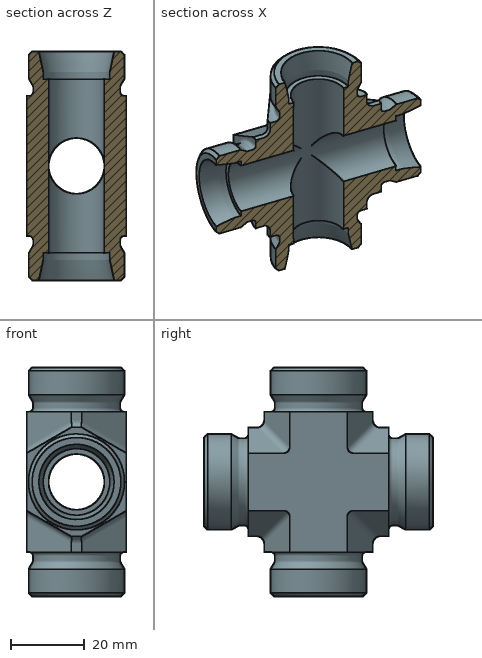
import cadquery as cq
import math

reach = 31.0

across_flats = 27.0
arm_span = 38.0
arm_reach = arm_span / 2
hexagon_sides = 6
crest_width = 29.45
crotch_radius = 2.0

thread_radius = 26.0 / 2
thread_length = 7.45
end_chamfer = 1.0
neck_radius = 23.7 / 2
neck_fillet = 1.0
runout_angle = math.radians(30)

bore_radius = 15.0 / 2
seat_radius = 18.0 / 2
seat_depth = 7.5
cone_mouth_radius = 10.15
cone_half_angle = math.radians(12)

arm_turns = (0, 90, 180, 270)
tolerance = 0.0005


def around_x(shape, angle):
    """Turn a shape about the X axis through the body centre."""
    return shape.rotate((0, 0, 0), (1, 0, 0), angle)


def cross_of(bar):
    """Cross made by a bar along Z and its quarter-turned copy along Y."""
    return bar.union(around_x(bar, 90))


def hex_cross():
    """Two crossing hexagonal bars, flats facing X, filleted along their slanted seams."""
    across_corners = across_flats / math.cos(math.pi / hexagon_sides)
    bar = (
        cq.Workplane("XY")
        .workplane(offset=-arm_reach)
        .transformed(rotate=(0, 0, 90))
        .polygon(hexagon_sides, across_corners)
        .extrude(arm_span)
    )
    cross = cross_of(bar)
    seams = [edge for edge in cross.edges().vals() if is_seam(edge)]
    return cross.newObject(seams).fillet(crotch_radius)


def is_seam(edge):
    """True for edges lying on the diagonal planes where two arms meet."""
    ends = (edge.startPoint(), edge.endPoint())
    return all(abs(abs(end.y) - abs(end.z)) < tolerance for end in ends)


def crest_cross():
    """Plain cross with rounded inner corners that trims the arms' outer corners."""
    bar = cq.Workplane("XY").box(across_flats, crest_width, arm_span)
    cross = cross_of(bar)
    inner_corners = [edge for edge in cross.edges("|X").vals() if is_seam(edge)]
    return cross.newObject(inner_corners).fillet(crotch_radius)


def port():
    """Threaded end with its neck, revolved about Z and rising from the body centre."""
    thread_start = reach - thread_length
    blend_rise = neck_fillet * (1 - math.cos(runout_angle))
    blend_length = neck_fillet * math.sin(runout_angle)
    blend_end_radius = neck_radius + blend_rise
    blend_end = thread_start - (thread_radius - blend_end_radius) / math.tan(runout_angle)
    neck_top = blend_end - blend_length
    half_turn = runout_angle / 2
    blend_mid = (
        neck_radius + neck_fillet * (1 - math.cos(half_turn)),
        neck_top + neck_fillet * math.sin(half_turn),
    )
    quarter = neck_fillet * (1 - math.sin(math.radians(45)))
    return (
        cq.Workplane("XZ")
        .moveTo(0, 0)
        .lineTo(neck_radius, 0)
        .lineTo(neck_radius, arm_reach)
        .lineTo(neck_radius + neck_fillet, arm_reach)
        .threePointArc(
            (neck_radius + quarter, arm_reach + quarter),
            (neck_radius, arm_reach + neck_fillet),
        )
        .lineTo(neck_radius, neck_top)
        .threePointArc(blend_mid, (blend_end_radius, blend_end))
        .lineTo(thread_radius, thread_start)
        .lineTo(thread_radius, reach - end_chamfer)
        .lineTo(thread_radius - end_chamfer, reach)
        .lineTo(0, reach)
        .close()
        .revolve(360, (0, 0, 0), (0, 1, 0))
    )


def port_bore():
    """Through bore, tube seat and sealing cone of one port, from the centre upward."""
    cone_depth = (cone_mouth_radius - seat_radius) / math.tan(cone_half_angle)
    return (
        cq.Workplane("XZ")
        .polyline([
            (0, 0),
            (bore_radius, 0),
            (bore_radius, reach - seat_depth),
            (seat_radius, reach - seat_depth),
            (seat_radius, reach - cone_depth),
            (cone_mouth_radius, reach),
            (0, reach),
        ])
        .close()
        .revolve(360, (0, 0, 0), (0, 1, 0))
    )


result = hex_cross().intersect(crest_cross())
for turn in arm_turns:
    result = result.union(around_x(port(), turn))
for turn in arm_turns:
    result = result.cut(around_x(port_bore(), turn))